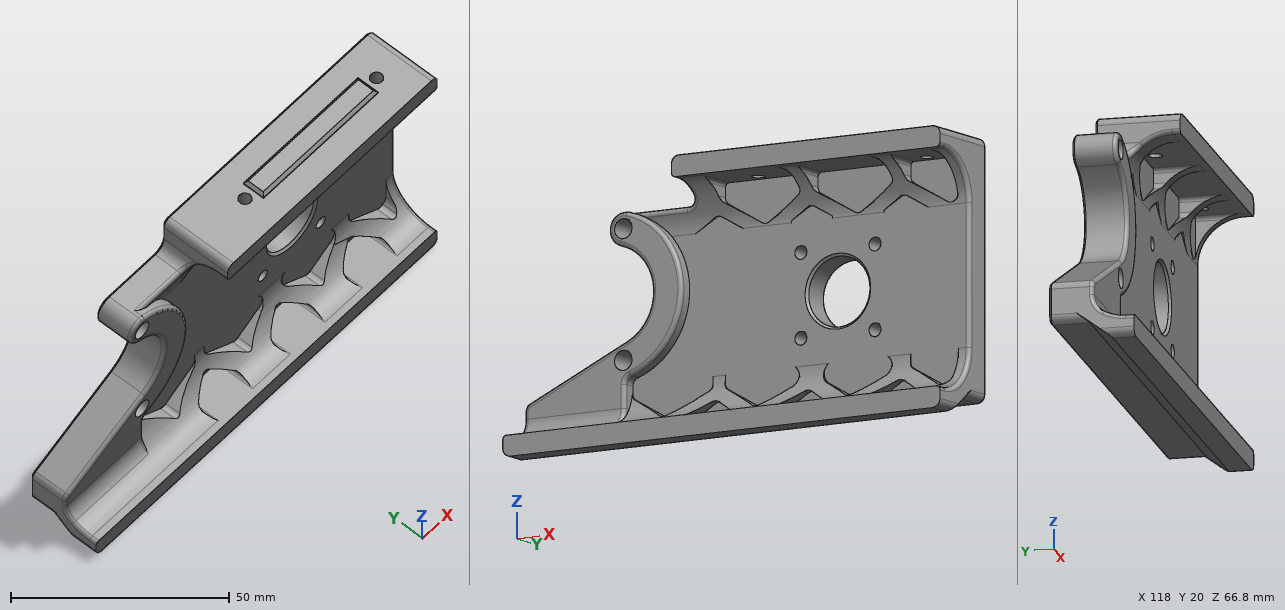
import cadquery as cq
import math

LENGTH = 118.0
DEPTH = 20.0
FLANGE_TOP = 65.8
FLANGE_THICKNESS = 5.0
TOP_FLANGE_LEFT = 45.5
WALL_THICKNESS = 7.0
CORNER_RADIUS = 2.0
FRONT_EDGE_RADIUS = 1.0
BACK_CHAMFER = 0.5

BLEND_RADIUS = 11.0
LOWER_FLANGE_FACE = FLANGE_THICKNESS
UPPER_FLANGE_FACE = FLANGE_TOP - FLANGE_THICKNESS
BLEND_AXIS_Y = -(WALL_THICKNESS + BLEND_RADIUS)
LOWER_BLEND_Z = LOWER_FLANGE_FACE + BLEND_RADIUS
UPPER_BLEND_Z = UPPER_FLANGE_FACE - BLEND_RADIUS

RELIEF_HEIGHT = 4.0
RELIEF_FLAT_DEPTH = 9.2
RELIEF_DEPTH = 14.6
FOOT_HEIGHT = 8.0

RING_X = 22.4
RING_Z = 36.8
OPENING_RADIUS = 12.0
BOSS_RADIUS = 3.95
RING_OUTER_RADIUS = 20.0
BOSS_X = 26.65
BOSS_PITCH_RADIUS = OPENING_RADIUS + BOSS_RADIUS
BOSS_RISE = math.sqrt(BOSS_PITCH_RADIUS**2 - (BOSS_X - RING_X) ** 2)
BOSS_Z = RING_Z + BOSS_RISE
SHOULDER_Z = BOSS_Z + BOSS_RADIUS
SHOULDER_RADIUS = 3.0
RING_HOLE_DIAMETER = 4.7
NOSE_TOP = 13.4

RAISED_THICKNESS = 10.5
RAISED_RIGHT = 27.05
RAISED_BLEND_RADIUS = 4.5
RAISED_RUN_OUT = 4.0
RAISED_CORNER_RADIUS = 2.0

MOTOR_X = 82.4
MOTOR_Z = 32.6
MOTOR_BORE = 16.5
MOTOR_BORE_CHAMFER = 0.6
SCREW_SPACING = 20.0
SCREW_DIAMETER = 3.2

PAD_X = 85.55
PAD_LENGTH = 39.7
PAD_WIDTH = 6.2
PAD_HEIGHT = 1.0
PAD_CHAMFER = 0.8
PAD_SCREW_SPACING = 45.5

CELL_PITCH = 25.0
CELL_HALF_WIDTH = 10.85
CELL_CORNER_RADIUS = 1.8
CELL_SLOPE = math.tan(math.radians(30))
CELL_REACH = 2 * CELL_HALF_WIDTH / math.sqrt(3)
ROW_PITCH = CELL_PITCH * math.sqrt(3) / 2
FIRST_CELL_X = 37.9
CELL_COUNT = 4
LOWER_ROW_Z = 19.3
POCKET_LIMIT_X = 114.9
FLANGE_CORNER_RADIUS = 1.0
TIP_RADIUS = 0.8
MOTOR_TIP_RADIUS = 2.8
CAP_TIP_RADIUS = 0.5
MOTOR_LAND_BOTTOM = 16.5
MOTOR_LAND_TOP = 49.5


def round_depth_edge(body, x, z, radius):
    """Round the edge that runs along Y nearest to the given place on the side outline."""
    edge = cq.selectors.NearestToPointSelector((x, -DEPTH / 2, z))
    return body.edges("|Y").edges(edge).fillet(radius)


def circle_point(center_u, center_v, radius, angle):
    """Point of a circle at an angle counted from the first axis of its plane."""
    return (center_u + radius * math.cos(angle), center_v + radius * math.sin(angle))


def outline_prism():
    """Side outline of the part over the full depth, without the foot of the lower flange."""
    boss_angle = math.atan2(BOSS_RISE, BOSS_X - RING_X)
    boss_end = circle_point(RING_X, RING_Z, OPENING_RADIUS, boss_angle)
    nose_distance = math.hypot(RING_X, RING_Z - NOSE_TOP)
    nose_angle = math.atan2(NOSE_TOP - RING_Z, -RING_X)
    tangent_angle = nose_angle + math.acos(OPENING_RADIUS / nose_distance)
    slope_end = circle_point(RING_X, RING_Z, OPENING_RADIUS, tangent_angle)
    prism = (
        cq.Workplane("XZ")
        .moveTo(0, RELIEF_HEIGHT)
        .lineTo(LENGTH, RELIEF_HEIGHT)
        .lineTo(LENGTH, FLANGE_TOP)
        .lineTo(TOP_FLANGE_LEFT, FLANGE_TOP)
        .lineTo(TOP_FLANGE_LEFT, SHOULDER_Z)
        .lineTo(BOSS_X, SHOULDER_Z)
        .threePointArc((BOSS_X - BOSS_RADIUS, BOSS_Z), boss_end)
        .threePointArc((RING_X + OPENING_RADIUS, RING_Z), slope_end)
        .lineTo(0, NOSE_TOP)
        .close()
        .extrude(DEPTH)
    )
    corners = [
        (0, NOSE_TOP, CORNER_RADIUS),
        (0, RELIEF_HEIGHT, CORNER_RADIUS),
        (LENGTH, RELIEF_HEIGHT, CORNER_RADIUS),
        (LENGTH, FLANGE_TOP, CORNER_RADIUS),
        (TOP_FLANGE_LEFT, FLANGE_TOP, CORNER_RADIUS),
        (TOP_FLANGE_LEFT, SHOULDER_Z, SHOULDER_RADIUS),
    ]
    for x, z, radius in corners:
        prism = round_depth_edge(prism, x, z, radius)
    return prism.faces(">Y").edges().chamfer(BACK_CHAMFER)


def flange_foot():
    """Bottom of the lower flange in front of the sloping relief."""
    relief_slope = (RELIEF_DEPTH - RELIEF_FLAT_DEPTH) / RELIEF_HEIGHT
    foot = cq.Workplane("XZ").rect(LENGTH, FOOT_HEIGHT, centered=False).extrude(DEPTH)
    for x in (0, LENGTH):
        foot = round_depth_edge(foot, x, 0, CORNER_RADIUS)
    profile = [
        (-DEPTH, 0),
        (-RELIEF_DEPTH, 0),
        (-RELIEF_DEPTH + FOOT_HEIGHT * relief_slope, FOOT_HEIGHT),
        (-DEPTH, FOOT_HEIGHT),
    ]
    return foot.intersect(cq.Workplane("YZ").polyline(profile).close().extrude(LENGTH))


def cavity():
    """Space in front of the wall, between the two flanges and their concave blends."""
    arc_offset = BLEND_RADIUS * math.sqrt(0.5)
    arc_y = BLEND_AXIS_Y + arc_offset
    return (
        cq.Workplane("YZ")
        .moveTo(-DEPTH, LOWER_FLANGE_FACE)
        .lineTo(BLEND_AXIS_Y, LOWER_FLANGE_FACE)
        .threePointArc((arc_y, LOWER_BLEND_Z - arc_offset), (-WALL_THICKNESS, LOWER_BLEND_Z))
        .lineTo(-WALL_THICKNESS, UPPER_BLEND_Z)
        .threePointArc((arc_y, UPPER_BLEND_Z + arc_offset), (BLEND_AXIS_Y, UPPER_FLANGE_FACE))
        .lineTo(-DEPTH, UPPER_FLANGE_FACE)
        .close()
        .extrude(LENGTH)
    )


def raised_profile():
    """Depth profile of the raised region: flat face and the blend down to the lower flange."""
    axis_y = -(RAISED_THICKNESS + RAISED_BLEND_RADIUS)
    reach = BLEND_RADIUS - RAISED_BLEND_RADIUS
    axis_z = LOWER_BLEND_Z - math.sqrt(reach**2 - (axis_y - BLEND_AXIS_Y) ** 2)
    end_angle = math.atan2(axis_z - LOWER_BLEND_Z, axis_y - BLEND_AXIS_Y)
    end = circle_point(axis_y, axis_z, RAISED_BLEND_RADIUS, end_angle)
    middle = circle_point(axis_y, axis_z, RAISED_BLEND_RADIUS, end_angle / 2)
    foot_y = end[0] + RAISED_RUN_OUT * math.sin(end_angle)
    foot_z = end[1] - RAISED_RUN_OUT * math.cos(end_angle)
    return (
        cq.Workplane("YZ")
        .moveTo(-RAISED_THICKNESS, FLANGE_TOP)
        .lineTo(-RAISED_THICKNESS, axis_z)
        .threePointArc(middle, end)
        .lineTo(foot_y, foot_z)
        .lineTo(0, foot_z)
        .lineTo(0, FLANGE_TOP)
        .close()
        .extrude(LENGTH)
    )


def raised_pad():
    """Region that stays thicker than the wall: the ring and the nose to the left of it."""
    corner_z = RING_Z - math.sqrt(RING_OUTER_RADIUS**2 - (RAISED_RIGHT - RING_X) ** 2)
    ring_top = RING_Z + RING_OUTER_RADIUS
    plan = (
        cq.Workplane("XZ")
        .lineTo(RAISED_RIGHT, 0)
        .lineTo(RAISED_RIGHT, corner_z)
        .threePointArc((RING_X + RING_OUTER_RADIUS, RING_Z), (RING_X, ring_top))
        .lineTo(0, ring_top)
        .close()
        .extrude(DEPTH)
    )
    inner_corner = cq.selectors.NearestToPointSelector((RAISED_RIGHT, -DEPTH / 2, corner_z))
    plan = plan.edges("|Y").edges(inner_corner).fillet(RAISED_CORNER_RADIUS)
    pad = plan.intersect(raised_profile())
    rim = cq.selectors.NearestToPointSelector((RING_X + RING_OUTER_RADIUS, -RAISED_THICKNESS, RING_Z))
    return pad.edges(rim).fillet(FRONT_EDGE_RADIUS)


def round_front_edges(body, *points):
    """Round the tangent chains of front edges that pass through the given points."""
    for point in points:
        body = body.edges(cq.selectors.NearestToPointSelector(point)).fillet(FRONT_EDGE_RADIUS)
    return body


def pocket(corners):
    """Pocket from the front down to the wall; corners are (x, z, radius), radius 0 stays sharp."""
    outline = [(x, z) for x, z, radius in corners]
    tool = cq.Workplane("XZ", origin=(0, -WALL_THICKNESS, 0)).polyline(outline).close()
    tool = tool.extrude(DEPTH - WALL_THICKNESS)
    for x, z, radius in corners:
        if radius > 0:
            corner = cq.selectors.NearestToPointSelector((x, -(DEPTH + WALL_THICKNESS) / 2, z))
            tool = tool.edges("|Y").edges(corner).fillet(radius)
    return tool


def lower_cell(x, left_at_land=False, right_at_land=False):
    """Cell of the lower row; a side next to the motor land ends in a rounded tip under it."""
    point_z = LOWER_ROW_Z - CELL_REACH
    tip_reach = (MOTOR_LAND_BOTTOM - point_z) / CELL_SLOPE

    def side(direction, at_land):
        if at_land:
            return [(x + direction * tip_reach, MOTOR_LAND_BOTTOM, MOTOR_TIP_RADIUS)]
        side_x = min(x + direction * CELL_HALF_WIDTH, POCKET_LIMIT_X)
        corner_z = point_z + abs(side_x - x) * CELL_SLOPE
        return [(side_x, corner_z, CELL_CORNER_RADIUS), (side_x, MOTOR_LAND_BOTTOM, 0)]

    point = [(x, point_z, CELL_CORNER_RADIUS)]
    return pocket(point + side(1, right_at_land) + side(-1, left_at_land)[::-1])


def upper_cell(x):
    """Cell of the upper row, closed off by the upper flange."""
    point_z = LOWER_ROW_Z + 2 * ROW_PITCH - CELL_REACH
    corners = [(x, point_z, CELL_CORNER_RADIUS)]
    right = min(x + CELL_HALF_WIDTH, POCKET_LIMIT_X)
    left = x - CELL_HALF_WIDTH
    corners.append((right, point_z + (right - x) * CELL_SLOPE, CELL_CORNER_RADIUS))
    corners.append((right, UPPER_FLANGE_FACE, FLANGE_CORNER_RADIUS))
    corners.append((left, UPPER_FLANGE_FACE, FLANGE_CORNER_RADIUS))
    corners.append((left, point_z + (x - left) * CELL_SLOPE, CELL_CORNER_RADIUS))
    return pocket(corners)


def cell_cap(x, point_z, base_z, left_radius, right_radius):
    """Top of a cell above a straight base line."""
    reach = (point_z - base_z) / CELL_SLOPE
    return pocket(
        [
            (x, point_z, CELL_CORNER_RADIUS),
            (x + reach, base_z, right_radius),
            (x - reach, base_z, left_radius),
        ]
    )


def honeycomb():
    """All pockets; the ones next to the motor stop at a plain land around it."""
    cells = [FIRST_CELL_X + i * CELL_PITCH for i in range(CELL_COUNT)]
    between = [x + CELL_PITCH / 2 for x in cells[:-1]]
    pockets = [
        lower_cell(cells[0]),
        lower_cell(cells[1], right_at_land=True),
        lower_cell(cells[2], left_at_land=True, right_at_land=True),
        lower_cell(cells[3]),
    ]
    pockets += [upper_cell(x) for x in cells[1:]]
    flange_row_point = LOWER_ROW_Z - ROW_PITCH + CELL_REACH
    pockets += [cell_cap(x, flange_row_point, LOWER_FLANGE_FACE, TIP_RADIUS, TIP_RADIUS) for x in between]
    middle_row_point = LOWER_ROW_Z + ROW_PITCH + CELL_REACH
    tip_radii = [(0, 0), (CAP_TIP_RADIUS, CAP_TIP_RADIUS), (CAP_TIP_RADIUS, 0)]
    for x, (left, right) in zip(between, tip_radii):
        pockets.append(cell_cap(x, middle_row_point, MOTOR_LAND_TOP, left, right))
    return pockets


def through_holes(diameter, centers):
    """Cylinders along Y at the given XZ places."""
    return cq.Workplane("XZ").pushPoints(centers).circle(diameter / 2).extrude(DEPTH)


def locating_pad():
    """Chamfered rectangular pad on top of the upper flange."""
    pad = cq.Workplane("XY", origin=(PAD_X, -DEPTH / 2, FLANGE_TOP)).rect(PAD_LENGTH, PAD_WIDTH)
    return pad.extrude(PAD_HEIGHT).faces(">Z").edges().chamfer(PAD_CHAMFER)


def flange_screw_holes():
    """Two holes through the upper flange, one beyond each end of the locating pad."""
    half = PAD_SCREW_SPACING / 2
    holes = cq.Workplane("XY", origin=(PAD_X, -DEPTH / 2, UPPER_FLANGE_FACE))
    return holes.pushPoints([(-half, 0), (half, 0)]).circle(SCREW_DIAMETER / 2).extrude(FLANGE_THICKNESS)


base = outline_prism().union(flange_foot())

wall = base.cut(cavity())
left_end = (0, (BLEND_AXIS_Y - DEPTH) / 2, LOWER_FLANGE_FACE)
right_end = (LENGTH, -WALL_THICKNESS, (LOWER_BLEND_Z + UPPER_BLEND_Z) / 2)
wall = round_front_edges(wall, left_end, right_end)
for cell in honeycomb():
    wall = wall.cut(cell)

nose_front = (0, -RAISED_THICKNESS, NOSE_TOP - CORNER_RADIUS)
raised = round_front_edges(base.intersect(raised_profile()), nose_front)
raised = raised.intersect(raised_pad())

result = wall.union(raised).union(locating_pad())

half_spacing = SCREW_SPACING / 2
motor_screws = [(MOTOR_X + i * half_spacing, MOTOR_Z + j * half_spacing) for i in (-1, 1) for j in (-1, 1)]
result = result.cut(through_holes(SCREW_DIAMETER, motor_screws))
result = result.cut(through_holes(MOTOR_BORE, [(MOTOR_X, MOTOR_Z)]))
bore_mouth = cq.selectors.NearestToPointSelector((MOTOR_X, -WALL_THICKNESS, MOTOR_Z))
result = result.edges(bore_mouth).chamfer(MOTOR_BORE_CHAMFER)
ring_holes = [(BOSS_X, BOSS_Z), (BOSS_X, RING_Z - BOSS_RISE)]
result = result.cut(through_holes(RING_HOLE_DIAMETER, ring_holes))
result = result.cut(flange_screw_holes())